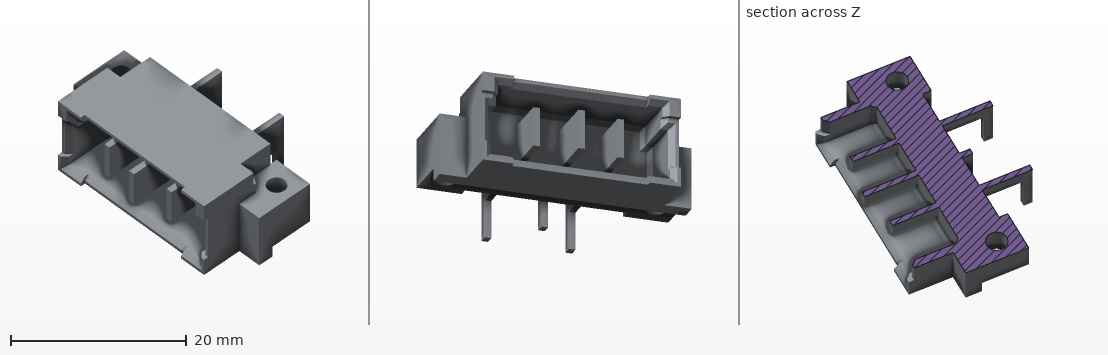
import cadquery as cq
import math


BODY_WIDTH = 23.9
BODY_HEIGHT = 10.9
BODY_DEPTH = 12.55
BASE_DEPTH = 7.7
REAR_FLOOR_Z = 1.55

RELIEF_HALF_WIDTH = 9.84
RELIEF_FRONT_Y = 7.83
UNDERCUT_TOP_Z = 9.0
UNDERCUT_WALL_Y = 8.22
UNDERCUT_ANGLE = 30.0

EAR_SPAN = 30.4
EAR_INNER_X = 9.73
EAR_FRONT_Y = 5.6
EAR_REAR_Y = 13.65
EAR_TOP_Z = 7.5
HOLE_DIAMETER = 2.5
HOLE_X = 12.7
HOLE_Y = 10.77

RIM = 0.45
SHOULDER_Z = 8.05
UPPER_HALF_WIDTH = 10.58
LEAD_IN = 0.65
REAR_CHAMFER = 0.55
CAVITY_DEPTH = 7.0

NOTCH_DEPTH = 0.65
NOTCH_HALF_WIDTH = 8.2
NOTCH_BOTTOM_Z = 2.4
NOTCH_TOP_Z = 8.6

PIN_PITCH = 5.08
PIN_THICKNESS = 0.8
OUTER_PIN_TIP_Y = 1.12
CENTRE_PIN_TIP_Y = 0.1
PIN_BOTTOM_Z = 3.1
PIN_TOP_Z = 7.85
TAIL_WIDTH = 1.15
TAIL_END_Z = -1.5
OUTER_PIN_REAR_Y = 18.98
CENTRE_PIN_REAR_Y = 13.9

HALF_WIDTH = BODY_WIDTH / 2


def block(x0, x1, y0, y1, z0, z1):
    """Box between two opposite corners."""
    return cq.Workplane("XY").box(x1 - x0, y1 - y0, z1 - z0, centered=False).translate((x0, y0, z0))


def both_sides(shape):
    """The shape together with its mirror image across the YZ plane."""
    return shape.union(shape.mirror("YZ"))


def make_housing():
    base = block(-HALF_WIDTH, HALF_WIDTH, 0, BASE_DEPTH, 0, BODY_HEIGHT)
    rear = block(-HALF_WIDTH, HALF_WIDTH, BASE_DEPTH, BODY_DEPTH, REAR_FLOOR_Z, BODY_HEIGHT)
    return base.union(rear)


def make_corner_relief():
    """Cut at the left rear corner: a square step on top, undercut by a slanted wall below."""
    step = block(-HALF_WIDTH, -RELIEF_HALF_WIDTH, RELIEF_FRONT_Y, BODY_DEPTH, UNDERCUT_TOP_Z, BODY_HEIGHT)
    rise = (HALF_WIDTH - RELIEF_HALF_WIDTH) * math.tan(math.radians(UNDERCUT_ANGLE))
    undercut = (
        cq.Workplane("XY", origin=(0, 0, EAR_TOP_Z))
        .moveTo(-HALF_WIDTH, UNDERCUT_WALL_Y)
        .lineTo(-RELIEF_HALF_WIDTH, UNDERCUT_WALL_Y + rise)
        .lineTo(-RELIEF_HALF_WIDTH, BODY_DEPTH)
        .lineTo(-HALF_WIDTH, BODY_DEPTH)
        .close()
        .extrude(UNDERCUT_TOP_Z - EAR_TOP_Z)
    )
    return step.union(undercut)


def make_ear():
    """Left mounting ear with a leg at its front."""
    outer_x = -EAR_SPAN / 2
    plate = block(outer_x, -EAR_INNER_X, EAR_FRONT_Y, EAR_REAR_Y, REAR_FLOOR_Z, EAR_TOP_Z)
    leg = block(outer_x, -EAR_INNER_X, EAR_FRONT_Y, BASE_DEPTH, 0, REAR_FLOOR_Z)
    return plate.union(leg)


def make_hole():
    height = EAR_TOP_Z - REAR_FLOOR_Z
    return cq.Workplane("XY", origin=(-HOLE_X, HOLE_Y, REAR_FLOOR_Z)).circle(HOLE_DIAMETER / 2).extrude(height)


def cavity_outline(inset):
    """Stepped cavity outline, shrunk by the inset, as points in X and Z."""
    lower = HALF_WIDTH - RIM - inset
    upper = UPPER_HALF_WIDTH - inset
    floor = RIM + inset
    shoulder = SHOULDER_Z - inset
    ceiling = BODY_HEIGHT - RIM - inset
    right = [(lower, floor), (lower, shoulder), (upper, shoulder), (upper, ceiling)]
    left = [(-x, z) for x, z in reversed(right)]
    return right + left


def outline_wire(inset, y):
    return cq.Wire.makePolygon([cq.Vector(x, y, z) for x, z in cavity_outline(inset)], close=True)


def cavity_section(front_inset, front_y, rear_inset, rear_y):
    """Ruled solid between the cavity outlines at two depths."""
    wires = [outline_wire(front_inset, front_y), outline_wire(rear_inset, rear_y)]
    return cq.Workplane(cq.Solid.makeLoft(wires, True))


def make_cavity():
    rear_start = CAVITY_DEPTH - REAR_CHAMFER
    mouth = cavity_section(0, 0, LEAD_IN, LEAD_IN)
    bore = cavity_section(LEAD_IN, LEAD_IN, LEAD_IN, rear_start)
    end = cavity_section(LEAD_IN, rear_start, LEAD_IN + REAR_CHAMFER, CAVITY_DEPTH)
    return mouth.union(bore).union(end)


def make_notches():
    """Notches across the mating face, with the lead-in chamfer repeated behind them."""
    depth = NOTCH_DEPTH + LEAD_IN
    upright = block(-NOTCH_HALF_WIDTH, NOTCH_HALF_WIDTH, 0, depth, 0, BODY_HEIGHT)
    crosswise = block(-HALF_WIDTH, HALF_WIDTH, 0, depth, NOTCH_BOTTOM_Z, NOTCH_TOP_Z)
    cross = upright.union(crosswise)
    face_slab = block(-HALF_WIDTH, HALF_WIDTH, 0, NOTCH_DEPTH, 0, BODY_HEIGHT)
    lead_in = cavity_section(0, NOTCH_DEPTH, LEAD_IN, depth)
    return cross.intersect(face_slab.union(lead_in))


def make_pin(x, tip_y, rear_y):
    """Flat blade with a solder tail turned down at its rear end."""
    x0 = x - PIN_THICKNESS / 2
    x1 = x + PIN_THICKNESS / 2
    blade = block(x0, x1, tip_y, rear_y, PIN_BOTTOM_Z, PIN_TOP_Z)
    tail = block(x0, x1, rear_y - TAIL_WIDTH, rear_y, TAIL_END_Z, PIN_BOTTOM_Z)
    return blade.union(tail)


housing = make_housing().cut(both_sides(make_corner_relief()))
housing = housing.union(both_sides(make_ear())).cut(both_sides(make_hole()))
housing = housing.cut(make_cavity()).cut(make_notches())

outer_pins = both_sides(make_pin(-PIN_PITCH, OUTER_PIN_TIP_Y, OUTER_PIN_REAR_Y))
centre_pin = make_pin(0, CENTRE_PIN_TIP_Y, CENTRE_PIN_REAR_Y)

result = housing.union(outer_pins).union(centre_pin)